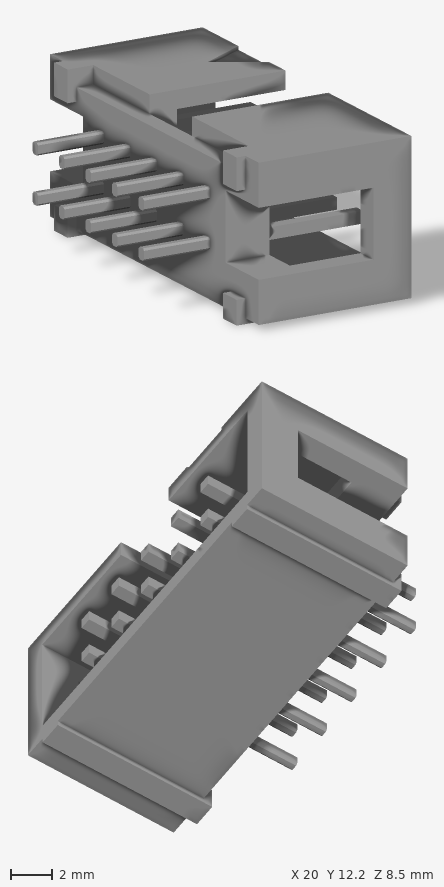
import cadquery as cq

overall_depth = 12.2
overall_height = 8.5

body_length = 20.02
body_depth = 8.5
body_height = 8.2
end_wall = 1.22
side_wall = 0.98
base_thickness = 2.45

opening_height = 3.65
opening_bottom = (body_height - opening_height) / 2
opening_back_wall = 2.12
opening_reach = 3.18

key_width = 4.08
key_depth = 1.88

foot_width = 1.3
foot_inset = 1.26
foot_projection = 0.5
upper_foot_height = 1.7
rail_height = 1.3
rail_drop = overall_height - body_height

relief_depth = 0.92
relief_height = 0.98

mark_width = 2.96
mark_length = 2.6
mark_depth = 0.2

pin_rows_middle = body_height / 2
columns = 5
pitch = 2.55
pin_size = 0.65
tail_width = 0.5
tail_chamfer = 0.1
tail_length = overall_depth - body_depth


def block(x_range, y_range, z_range):
    """Box spanning the given lower and upper limits on each axis."""
    (x0, x1), (y0, y1), (z0, z1) = x_range, y_range, z_range
    return cq.Workplane("XY").box(x1 - x0, y1 - y0, z1 - z0, centered=False).translate((x0, y0, z0))


def both_ends(shape):
    """The shape together with its mirror image across the middle of the length."""
    return shape.union(shape.mirror("YZ"))


def make_body():
    half = body_length / 2
    body = block((-half, half), (0, body_depth), (0, body_height))

    inner_half = half - end_wall
    cavity = block(
        (-inner_half, inner_half),
        (base_thickness, body_depth),
        (side_wall, body_height - side_wall),
    )
    opening = block(
        (-half, -half + opening_reach),
        (0, body_depth - opening_back_wall),
        (opening_bottom, opening_bottom + opening_height),
    )
    key_slot = block(
        (-key_width / 2, key_width / 2),
        (relief_depth, body_depth),
        (body_height - key_depth, body_height),
    )
    relief_half = half - foot_inset - foot_width
    relief = block(
        (-relief_half, relief_half),
        (0, relief_depth),
        (body_height - relief_height, body_height),
    )
    return body.cut(cavity).cut(both_ends(opening)).cut(key_slot).cut(relief)


def make_feet():
    foot_start = -body_length / 2 + foot_inset
    foot_x = (foot_start, foot_start + foot_width)
    upper = block(foot_x, (-foot_projection, 0), (body_height - upper_foot_height, body_height))
    lower = block(foot_x, (-foot_projection, 0), (-rail_drop, rail_height - rail_drop))
    rail = block(foot_x, (-foot_projection, body_depth), (-rail_drop, 0))
    return both_ends(upper.union(lower).union(rail))


def make_mark():
    """Shallow triangle pointing from the back edge to the first pin column."""
    first_pin_x = -pitch * (columns - 1) / 2
    return (
        cq.Workplane("XY", origin=(first_pin_x, body_depth, body_height - mark_depth))
        .polyline([(-mark_width / 2, 0), (mark_width / 2, 0), (0, -mark_length)])
        .close()
        .extrude(mark_depth)
    )


def make_pin(x, z):
    """Square contact inside the shroud with a narrower, chamfered tail at the front."""
    half = pin_size / 2
    contact = block(
        (x - half, x + half),
        (base_thickness / 2, body_depth),
        (z - half, z + half),
    )
    tail = block(
        (x - tail_width / 2, x + tail_width / 2),
        (-tail_length, base_thickness / 2),
        (z - half, z + half),
    )
    return contact.union(tail.edges("|Y").chamfer(tail_chamfer))


result = make_body().union(make_feet()).cut(make_mark())
for column in range(columns):
    pin_x = (column - (columns - 1) / 2) * pitch
    for pin_z in (pin_rows_middle - pitch / 2, pin_rows_middle + pitch / 2):
        result = result.union(make_pin(pin_x, pin_z))